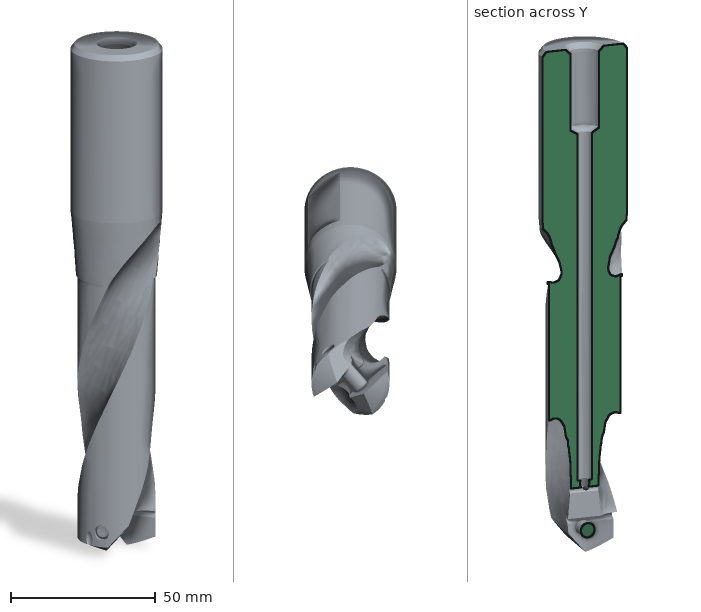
import cadquery as cq
import math

TOTAL_LENGTH = 181.8

SHANK_DIAMETER = 31.8
SHANK_BOTTOM_Z = 121.6
SHANK_CHAMFER_WIDTH = 1.5
SHANK_CHAMFER_HEIGHT = 1.8
NECK_BOTTOM_Z = 98.5
NECK_BOTTOM_RADIUS = 14.0
FLUTED_RADIUS = 13.5

FLAT_TOP_Z = 175.8
FLAT_BOTTOM_Z = 127.0
FLAT_OFFSET = 14.2

BORE_MOUTH_RADIUS = 7.0
BORE_RADIUS = 5.3
BORE_DEPTH = 29.0
BORE_POINT_ANGLE = 118.0
COOLANT_RADIUS = 2.5
COOLANT_BOTTOM_Z = 27.3
OUTLET_RADIUS = 1.5
OUTLET_X = 6.0
OUTLET_Z = 6.0
OUTLET_OVERRUN = 7.3

FLUTE_PITCH = 181.8
FLUTE_FLOOR_RADIUS = 5.0
TIP_FLOOR_RADIUS = 6.0
FLUTE_HALF_ANGLE = 41.0
FLUTE_FACING_Y_Z = 74.5
FLUTE_FADE_Z = 49.0
FLUTE_NARROW_Z = 30.0
NARROW_HALF_ANGLE = 22.0
TIP_HALF_ANGLE = 18.0
FLUTE_END_Z = -1.8
RUNOUT_TOP_Z = 120.0
RUNOUT_POWER = 1.6
RUNOUT_SHIFT = 12.5
FLUTE_REACH = 25.5
HELIX_STEPS = 12
RUNOUT_STEPS = 3

SLOT_HALF_WIDTH = 4.5
SLOT_TOP_Z = 13.6
RELIEF_HALF_WIDTH = 5.3
RELIEF_STRAIGHT_Z = 12.2
RELIEF_BOTTOM_Z = 10.7
SLIT_WIDTH = 0.45
SLIT_HOLE_RADIUS = 0.9
SLIT_HOLE_Z = 23.6

POINT_ANGLE = 130.0
TIP_X = 2.2
GASH_SLOPE = 0.87

SCREW_X = -1.0
SCREW_Z = 9.0
SCREW_DIAMETER = 5.3
SCREW_HALF_LENGTH = 12.4
SCREW_CHAMFER = 0.7

SHANK_RADIUS = SHANK_DIAMETER / 2
SCREW_RADIUS = SCREW_DIAMETER / 2
POINT_SLOPE = math.tan(math.radians(90 - POINT_ANGLE / 2))
TIP_RADIUS = math.hypot(TIP_X, SLOT_HALF_WIDTH)
SHOULDER_Z = POINT_SLOPE * (FLUTED_RADIUS - TIP_RADIUS)
APEX_Z = -POINT_SLOPE * TIP_RADIUS
BORE_CONE_SLOPE = math.tan(math.radians(90 - BORE_POINT_ANGLE / 2))
BORE_CONE_HEIGHT = BORE_CONE_SLOPE * (BORE_RADIUS - COOLANT_RADIUS)
CLEARANCE = 2 * SHANK_RADIUS


def turned_blank():
    """Shank, tapered neck, fluted length and conical point, turned about Z."""
    return (
        cq.Workplane("XZ")
        .moveTo(0, APEX_Z)
        .lineTo(FLUTED_RADIUS, SHOULDER_Z)
        .lineTo(FLUTED_RADIUS, NECK_BOTTOM_Z)
        .lineTo(NECK_BOTTOM_RADIUS, NECK_BOTTOM_Z)
        .lineTo(SHANK_RADIUS, SHANK_BOTTOM_Z)
        .lineTo(SHANK_RADIUS, TOTAL_LENGTH - SHANK_CHAMFER_HEIGHT)
        .lineTo(SHANK_RADIUS - SHANK_CHAMFER_WIDTH, TOTAL_LENGTH)
        .lineTo(0, TOTAL_LENGTH)
        .close()
        .revolve(360, (0, 0, 0), (0, 1, 0))
    )


def shank_flat():
    """Cutter for the clamping flat on the +Y side of the shank."""
    return (
        cq.Workplane("XY", origin=(0, FLAT_OFFSET, FLAT_BOTTOM_Z))
        .rect(CLEARANCE, CLEARANCE)
        .extrude(FLAT_TOP_Z - FLAT_BOTTOM_Z)
        .translate((0, CLEARANCE / 2, 0))
    )


def coolant_bore():
    """Chamfered bore in the shank end, stepping down to the long coolant hole."""
    cone_top_z = TOTAL_LENGTH - BORE_DEPTH
    return (
        cq.Workplane("XZ")
        .moveTo(0, COOLANT_BOTTOM_Z)
        .lineTo(COOLANT_RADIUS, COOLANT_BOTTOM_Z)
        .lineTo(COOLANT_RADIUS, cone_top_z - BORE_CONE_HEIGHT)
        .lineTo(BORE_RADIUS, cone_top_z)
        .lineTo(BORE_RADIUS, TOTAL_LENGTH - (BORE_MOUTH_RADIUS - BORE_RADIUS))
        .lineTo(BORE_MOUTH_RADIUS, TOTAL_LENGTH)
        .lineTo(0, TOTAL_LENGTH)
        .close()
        .revolve(360, (0, 0, 0), (0, 1, 0))
    )


def coolant_outlet():
    """Sloping hole from the coolant hole to the side of the -Y jaw."""
    start = cq.Vector(0, 0, COOLANT_BOTTOM_Z)
    outlet_y = math.sqrt(FLUTED_RADIUS**2 - OUTLET_X**2)
    path = cq.Vector(-OUTLET_X, -outlet_y, OUTLET_Z) - start
    length = path.Length + OUTLET_OVERRUN
    return cq.Workplane(cq.Solid.makeCylinder(OUTLET_RADIUS, length, start, path))


def interpolate(value, start, end, start_result, end_result):
    """Straight-line value between the results at start and end."""
    return start_result + (value - start) / (end - start) * (end_result - start_result)


def trailing_half_angle(z):
    """Angle from the flute's centre line to its trailing edge at height z."""
    if z >= FLUTE_FADE_Z:
        return FLUTE_HALF_ANGLE
    if z >= FLUTE_NARROW_Z:
        return interpolate(z, FLUTE_NARROW_Z, FLUTE_FADE_Z, NARROW_HALF_ANGLE, FLUTE_HALF_ANGLE)
    return interpolate(z, FLUTE_END_Z, FLUTE_NARROW_Z, TIP_HALF_ANGLE, NARROW_HALF_ANGLE)


def floor_radius(z):
    """Distance from the axis to the flute floor at height z, without the runout's shift."""
    if z >= FLUTE_NARROW_Z:
        return FLUTE_FLOOR_RADIUS
    return interpolate(z, FLUTE_END_Z, FLUTE_NARROW_Z, TIP_FLOOR_RADIUS, FLUTE_FLOOR_RADIUS)


def runout_shift(z):
    """Outward shift of the flute at height z, gathering pace up through the neck."""
    rise = max(0, z - NECK_BOTTOM_Z)
    return RUNOUT_SHIFT * (rise / (RUNOUT_TOP_Z - NECK_BOTTOM_Z)) ** RUNOUT_POWER


def flute_section(z):
    """Level outline of one flute at height z: an arc floor and straight walls to its outer side."""
    minus_y_direction = 270
    centre = minus_y_direction + 360 * (z - FLUTE_FACING_Y_Z) / FLUTE_PITCH
    trailing = centre - trailing_half_angle(z)
    leading = centre + FLUTE_HALF_ANGLE
    middle = (trailing + leading) / 2
    shift = runout_shift(z)

    def polar(radius, degrees):
        angle = math.radians(degrees)
        outward = math.radians(middle)
        x = radius * math.cos(angle) + shift * math.cos(outward)
        y = radius * math.sin(angle) + shift * math.sin(outward)
        return cq.Vector(x, y, z)

    trailing_edge = polar(FLUTED_RADIUS, trailing)
    leading_edge = polar(FLUTED_RADIUS, leading)
    trailing_corner = polar(FLUTE_REACH, trailing)
    leading_corner = polar(FLUTE_REACH, leading)
    return cq.Wire.assembleEdges([
        cq.Edge.makeThreePointArc(trailing_edge, polar(floor_radius(z), middle), leading_edge),
        cq.Edge.makeLine(leading_edge, leading_corner),
        cq.Edge.makeLine(leading_corner, trailing_corner),
        cq.Edge.makeLine(trailing_corner, trailing_edge),
    ])


def flute():
    """Cutter for one flute, from the drill point up to the end of its runout in the neck."""
    helix_rise = (NECK_BOTTOM_Z - FLUTE_END_Z) / HELIX_STEPS
    runout_rise = (RUNOUT_TOP_Z - NECK_BOTTOM_Z) / RUNOUT_STEPS
    levels = [FLUTE_END_Z + helix_rise * step for step in range(HELIX_STEPS)]
    levels += [NECK_BOTTOM_Z + runout_rise * step for step in range(RUNOUT_STEPS + 1)]
    return cq.Workplane(cq.Solid.makeLoft([flute_section(z) for z in levels]))


def insert_slot():
    """Slot along X, widened by a tapering relief below its roof."""
    plus_y_side = [
        (SLOT_HALF_WIDTH, APEX_Z),
        (SLOT_HALF_WIDTH, RELIEF_BOTTOM_Z),
        (RELIEF_HALF_WIDTH, RELIEF_STRAIGHT_Z),
        (RELIEF_HALF_WIDTH, SLOT_TOP_Z),
    ]
    minus_y_side = [(-y, z) for y, z in reversed(plus_y_side)]
    return cq.Workplane("YZ").polyline(plus_y_side + minus_y_side).close().extrude(CLEARANCE, both=True)


def spring_slit():
    """Thin slit above the slot, ending in a round hole, that lets the jaws flex."""
    slit_height = SLIT_HOLE_Z - SLOT_TOP_Z
    slit = cq.Workplane("XY", origin=(0, 0, SLOT_TOP_Z)).rect(CLEARANCE, SLIT_WIDTH).extrude(slit_height)
    hole = (
        cq.Workplane("YZ", origin=(0, 0, SLIT_HOLE_Z))
        .circle(SLIT_HOLE_RADIUS)
        .extrude(CLEARANCE, both=True)
    )
    return slit.union(hole)


def gash():
    """Sloping cut that clears the +X side of the -Y jaw at the drill point."""
    foot_x = -TIP_X + GASH_SLOPE * APEX_Z
    top_x = -TIP_X + GASH_SLOPE * SLOT_TOP_Z
    return (
        cq.Workplane("XZ")
        .polyline([(foot_x, APEX_Z), (CLEARANCE, APEX_Z), (CLEARANCE, SLOT_TOP_Z), (top_x, SLOT_TOP_Z)])
        .close()
        .extrude(CLEARANCE)
    )


def half_turn(shape):
    """The shape turned to the opposite side of the drill axis."""
    return shape.rotate((0, 0, 0), (0, 0, 1), 180)


def screw_cylinder(half_length):
    """Cylinder on the screw's axis, also used to cut its hole."""
    return (
        cq.Workplane("XZ", origin=(SCREW_X, 0, SCREW_Z))
        .circle(SCREW_RADIUS)
        .extrude(half_length, both=True)
    )


def make_drill_body():
    body = turned_blank()
    for cutter in (shank_flat(), coolant_bore(), insert_slot(), spring_slit(), screw_cylinder(CLEARANCE)):
        body = body.cut(cutter)
    for cutter in (coolant_outlet(), gash(), flute()):
        body = body.cut(cutter).cut(half_turn(cutter))
    return body


def make_clamping_screw():
    """Headless screw through both jaws and across the slot, sunk below their outer sides."""
    return screw_cylinder(SCREW_HALF_LENGTH).edges().chamfer(SCREW_CHAMFER)


drill_body = make_drill_body()
clamping_screw = make_clamping_screw()

result = cq.Compound.makeCompound([drill_body.val(), clamping_screw.val()])